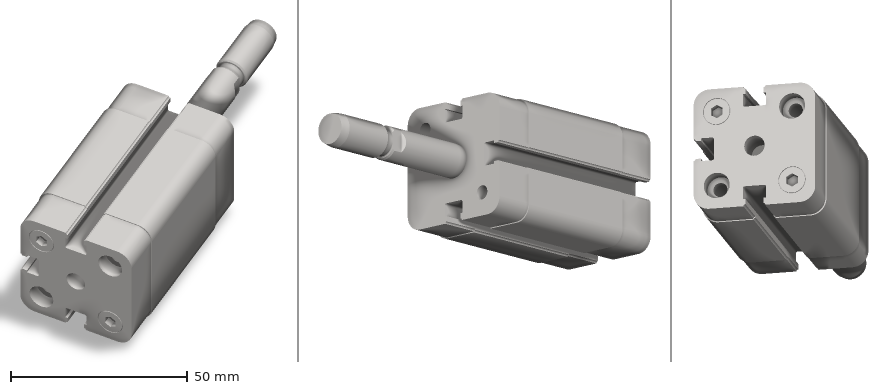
import cadquery as cq


BODY_SIDE = 36.1
CAP_SIDE = 35.5
CORNER_RADIUS = 4.6
CAP_LENGTH = 12.0
BODY_LENGTH = 38.9
HOUSING_LENGTH = 2 * CAP_LENGTH + BODY_LENGTH
TOTAL_LENGTH = 114.5

SLOT_MOUTH_WIDTH = 5.3
SLOT_INNER_WIDTH = 6.8
SLOT_LIP_DEPTH = 2.4
SLOT_DEPTH = 6.2
SLOT_EDGE_RADIUS = 0.6
SLOT_FLOOR_RADIUS = 0.5
SLOT_TURNS = (0, 90, 180)

CORNER_OFFSET = 11.0
BOLT_HOLE_DIAMETER = 4.1
COUNTERBORE_DIAMETER = 7.5
COUNTERBORE_DEPTH = 4.4
CENTRE_HOLE_DIAMETER = 6.0
CENTRE_HOLE_DEPTH = 9.2

SCREW_HEAD_DIAMETER = 7.5
SCREW_RECESS_DIAMETER = 8.0
SCREW_RING_DEPTH = 0.3
HEX_ACROSS_FLATS = 3.4
HEX_ACROSS_CORNERS = HEX_ACROSS_FLATS * 2 / 3**0.5
HEX_DEPTH = 2.3

ROD_RADIUS = 10.0 / 2
TIP_RADIUS = 4.5
TIP_LENGTH = 2.9
THREAD_LENGTH = 18.9
THREAD_END_CHAMFER = 0.5
NECK_DIAMETER = 8.0
SHOULDER_START = 21.9
SHOULDER_CHAMFER_LENGTH = 0.7
SHOULDER_CHAMFER_HEIGHT = 0.3
FLAT_END = 25.4
ACROSS_FLATS = 8.0


def section(start_y):
    """Workplane across the cylinder, facing +Y, with local x = -X and local y = Z."""
    return cq.Workplane("XZ", origin=(0, start_y, 0)).transformed(rotate=(0, 180, 0))


def slot_cutter(face_height, start_y, length):
    """Top T-slot with rounded mouth edges and floor corners, for a face lying at the given height."""
    mouth = SLOT_MOUTH_WIDTH / 2
    inner = SLOT_INNER_WIDTH / 2
    lip_z = BODY_SIDE / 2 - SLOT_LIP_DEPTH
    floor_z = BODY_SIDE / 2 - SLOT_DEPTH
    floor_edge = inner - SLOT_FLOOR_RADIUS
    outer = mouth + SLOT_EDGE_RADIUS
    edge_z = face_height - SLOT_EDGE_RADIUS
    return (
        section(start_y)
        .moveTo(-floor_edge, floor_z)
        .lineTo(floor_edge, floor_z)
        .radiusArc((inner, floor_z + SLOT_FLOOR_RADIUS), -SLOT_FLOOR_RADIUS)
        .lineTo(inner, lip_z)
        .lineTo(mouth, lip_z)
        .lineTo(mouth, edge_z)
        .radiusArc((outer, face_height), -SLOT_EDGE_RADIUS)
        .lineTo(-outer, face_height)
        .radiusArc((-mouth, edge_z), -SLOT_EDGE_RADIUS)
        .lineTo(-mouth, lip_z)
        .lineTo(-inner, lip_z)
        .lineTo(-inner, floor_z + SLOT_FLOOR_RADIUS)
        .radiusArc((-floor_edge, floor_z), -SLOT_FLOOR_RADIUS)
        .close()
        .extrude(length)
    )


def housing_section(side, start_y, length):
    """Rounded square block with a T-slot in three of its faces."""
    block = section(start_y).rect(side, side).extrude(length).edges("|Y").fillet(CORNER_RADIUS)
    cutter = slot_cutter(side / 2, start_y, length)
    for turn in SLOT_TURNS:
        block = block.cut(cutter.rotate((0, 0, 0), (0, 1, 0), -turn))
    return block


def bore(x, z, diameter, depth):
    """Round cutter entering the front face."""
    return section(0).center(-x, z).circle(diameter / 2).extrude(depth)


def bolt_hole(x, z):
    """Counterbored hole running through the housing."""
    through = bore(x, z, BOLT_HOLE_DIAMETER, HOUSING_LENGTH)
    return through.union(bore(x, z, COUNTERBORE_DIAMETER, COUNTERBORE_DEPTH))


def screw_recess(x, z):
    """Shallow ring around a flush screw head, plus its hexagon socket."""
    head = bore(x, z, SCREW_HEAD_DIAMETER, SCREW_RING_DEPTH)
    ring = bore(x, z, SCREW_RECESS_DIAMETER, SCREW_RING_DEPTH).cut(head)
    socket = (
        section(0).center(-x, z).transformed(rotate=(0, 0, 90))
        .polygon(6, HEX_ACROSS_CORNERS).extrude(HEX_DEPTH)
    )
    return ring.union(socket)


def piston_rod():
    """Rod turned about Y, with an undercut neck and two wrench flats behind it."""
    neck_radius = NECK_DIAMETER / 2
    thread_end = TOTAL_LENGTH - THREAD_LENGTH
    shoulder = TOTAL_LENGTH - SHOULDER_START
    rod = (
        cq.Workplane("XY")
        .moveTo(0, HOUSING_LENGTH)
        .lineTo(ROD_RADIUS, HOUSING_LENGTH)
        .lineTo(ROD_RADIUS, shoulder - SHOULDER_CHAMFER_LENGTH)
        .lineTo(ROD_RADIUS - SHOULDER_CHAMFER_HEIGHT, shoulder)
        .lineTo(neck_radius, shoulder)
        .lineTo(neck_radius, thread_end - THREAD_END_CHAMFER)
        .lineTo(ROD_RADIUS - THREAD_END_CHAMFER, thread_end - THREAD_END_CHAMFER)
        .lineTo(ROD_RADIUS, thread_end)
        .lineTo(ROD_RADIUS, TOTAL_LENGTH - TIP_LENGTH)
        .lineTo(TIP_RADIUS, TOTAL_LENGTH)
        .lineTo(0, TOTAL_LENGTH)
        .close()
        .revolve(360, (0, 0, 0), (0, 1, 0))
    )
    flat_x = ACROSS_FLATS / 2
    flat_end = TOTAL_LENGTH - FLAT_END
    flat_depth = ROD_RADIUS - flat_x
    flat = (
        cq.Workplane("XY")
        .moveTo(flat_x, shoulder)
        .lineTo(flat_x, flat_end)
        .lineTo(ROD_RADIUS, flat_end - flat_depth)
        .lineTo(ROD_RADIUS, shoulder)
        .close()
        .extrude(ROD_RADIUS, both=True)
    )
    return rod.cut(flat).cut(flat.mirror("YZ"))


result = (
    housing_section(CAP_SIDE, 0, CAP_LENGTH)
    .union(housing_section(BODY_SIDE, CAP_LENGTH, BODY_LENGTH))
    .union(housing_section(CAP_SIDE, CAP_LENGTH + BODY_LENGTH, CAP_LENGTH))
    .union(piston_rod())
)
result = result.cut(bore(0, 0, CENTRE_HOLE_DIAMETER, CENTRE_HOLE_DEPTH))
for side in (-1, 1):
    result = result.cut(bolt_hole(side * CORNER_OFFSET, side * CORNER_OFFSET))
    result = result.cut(screw_recess(side * CORNER_OFFSET, -side * CORNER_OFFSET))